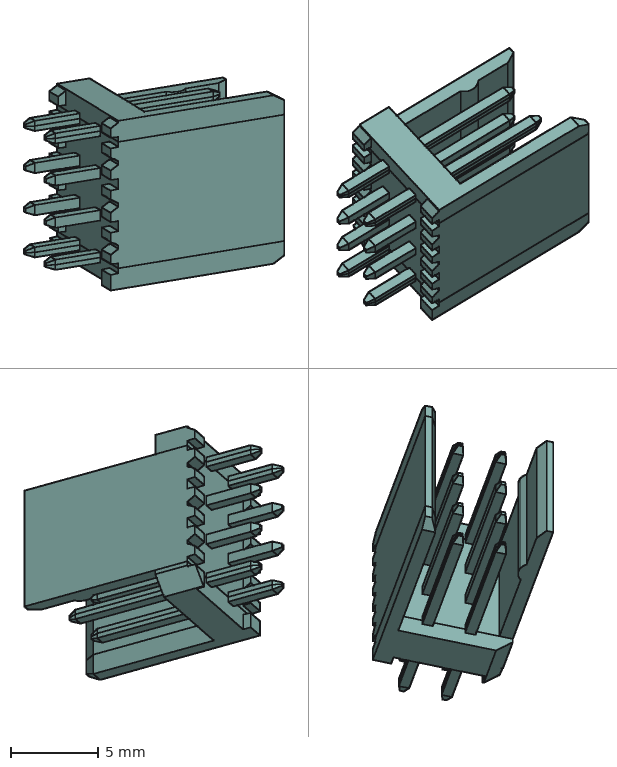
import cadquery as cq
import math

pitch = 2.54
pin_columns = 2
pin_rows = 4
pin_width = 0.62
pin_tip_width = 0.25
pin_taper_length = 0.5
pin_front_reach = 3.4
pin_back_reach = 7.0

housing_width = 7.6
housing_height = pin_rows * pitch
base_depth = 2.1
wall_length = 8.6
wall_thickness = 0.8
wall_end_y = base_depth + wall_length
lead_in_width = 0.4
lead_in_length = 0.7
key_chamfer = 1.0

ridge_radius = 0.8
ridge_height = 0.3
ridge_from_wall_end = 3.45

foot_width = 1.1
foot_depth = 0.5
foot_root_gap_from_pin = 0.3
foot_root_height = 0.87
foot_draft_angle = 3
foot_slope_angle = 30
foot_draft_rise = foot_depth * math.tan(math.radians(foot_draft_angle))
foot_slope_rise = foot_depth * math.tan(math.radians(foot_slope_angle))

half_width = housing_width / 2
half_height = housing_height / 2
split_z = half_height - pitch / 2

overlap = 0.1

pin_column_x = [(column - (pin_columns - 1) / 2) * pitch for column in range(pin_columns)]
pin_row_z = [(row - (pin_rows - 1) / 2) * pitch for row in range(pin_rows)]


def block(x_range, y_range, z_range):
    """Box spanning the given ranges."""
    lows, highs = zip(x_range, y_range, z_range)
    sizes = [high - low for low, high in zip(lows, highs)]
    return cq.Workplane("XY").box(*sizes, centered=False).translate(lows)


def extrude_plan(plan, z_range):
    """Extrude an outline drawn in X and Y over a range of Z."""
    bottom, top = z_range
    return plan.extrude(top - bottom).translate((0, 0, bottom))


def pin(x, z):
    """Square pin along Y, tapered at both ends."""
    shank_start = pin_taper_length - pin_front_reach
    shank_end = base_depth + pin_back_reach - pin_taper_length
    half_pin = pin_width / 2
    shank = block((-half_pin, half_pin), (shank_start, shank_end), (-half_pin, half_pin))
    for face in ("<Y", ">Y"):
        shank = (
            shank.faces(face)
            .workplane(centerOption="CenterOfBoundBox")
            .rect(pin_width, pin_width)
            .workplane(offset=pin_taper_length)
            .rect(pin_tip_width, pin_tip_width)
            .loft(combine=True)
        )
    return shank.translate((x, 0, z))


def latch_wall(z_range):
    """The -X wall, with a lead-in at its end and a rounded ridge on its inner face."""
    inner_x = wall_thickness - half_width
    ridge_y = wall_end_y - ridge_from_wall_end
    ridge_half_length = math.sqrt(ridge_radius**2 - (ridge_radius - ridge_height) ** 2)
    plan = (
        cq.Workplane("XY")
        .moveTo(-half_width, base_depth - overlap)
        .lineTo(inner_x, base_depth - overlap)
        .lineTo(inner_x, ridge_y - ridge_half_length)
        .threePointArc((inner_x + ridge_height, ridge_y), (inner_x, ridge_y + ridge_half_length))
        .lineTo(inner_x, wall_end_y - lead_in_length)
        .lineTo(inner_x - lead_in_width, wall_end_y)
        .lineTo(-half_width, wall_end_y)
        .close()
    )
    return extrude_plan(plan, z_range)


def plain_wall(z_range):
    """The +X wall, with a lead-in on the inner side of its end."""
    inner_x = half_width - wall_thickness
    plan = (
        cq.Workplane("XY")
        .moveTo(half_width, base_depth - overlap)
        .lineTo(half_width, wall_end_y)
        .lineTo(inner_x + lead_in_width, wall_end_y)
        .lineTo(inner_x, wall_end_y - lead_in_length)
        .lineTo(inner_x, base_depth - overlap)
        .close()
    )
    return extrude_plan(plan, z_range)


def wall_end_bevel(side):
    """Wedge that bevels the wall end at the top (side = 1) or bottom (side = -1)."""
    outer_z = side * half_height
    return (
        cq.Workplane("YZ")
        .moveTo(wall_end_y, outer_z)
        .lineTo(wall_end_y - lead_in_length, outer_z)
        .lineTo(wall_end_y, outer_z - side * lead_in_width)
        .close()
        .extrude(half_width, both=True)
    )


def foot_pair(row_z, side, sloped=True):
    """Feet at both X edges, drafted toward the tip, above (side = 1) or below (side = -1) a pin row."""
    near_root_z = row_z + side * foot_root_gap_from_pin
    near_tip_z = near_root_z + side * foot_draft_rise
    if sloped:
        far_root_z = near_root_z + side * foot_root_height
        far_tip_z = far_root_z - side * foot_slope_rise
    else:
        far_root_z = side * half_height
        far_tip_z = far_root_z
    profile = (
        cq.Workplane("YZ")
        .moveTo(overlap, near_root_z)
        .lineTo(0, near_root_z)
        .lineTo(-foot_depth, near_tip_z)
        .lineTo(-foot_depth, far_tip_z)
        .lineTo(0, far_root_z)
        .lineTo(overlap, far_root_z)
        .close()
    )
    foot = profile.extrude(foot_width)
    return foot.translate((-half_width, 0, 0)).union(foot.translate((half_width - foot_width, 0, 0)))


def section(z_range):
    """Base plate, +X wall and the parts of the pins that lie within a range of Z."""
    slice_space = block(
        (-half_width, half_width),
        (-pin_front_reach, wall_end_y),
        z_range,
    )
    body = block((-half_width, half_width), (0, base_depth), z_range).union(plain_wall(z_range))
    bottom, top = z_range
    for z in pin_row_z:
        if bottom - pin_width / 2 < z < top + pin_width / 2:
            for x in pin_column_x:
                body = body.union(pin(x, z).intersect(slice_space))
    return body


middle_range = (-split_z, split_z)
middle_section = section(middle_range).union(latch_wall(middle_range))
for lower_row_z, upper_row_z in zip(pin_row_z, pin_row_z[1:]):
    middle_section = middle_section.union(foot_pair(lower_row_z, 1))
    middle_section = middle_section.union(foot_pair(upper_row_z, -1))

top_section = section((split_z, half_height)).union(foot_pair(split_z, 1)).cut(wall_end_bevel(1))

bottom_section = section((-half_height, -split_z)).union(foot_pair(-split_z, -1, sloped=False))
key_corner = (
    cq.Workplane("XZ")
    .moveTo(-half_width, -half_height)
    .lineTo(-half_width + key_chamfer, -half_height)
    .lineTo(-half_width, -half_height + key_chamfer)
    .close()
    .extrude(base_depth + foot_depth)
    .translate((0, base_depth, 0))
)
bottom_section = bottom_section.cut(wall_end_bevel(-1)).cut(key_corner)

result = cq.Compound.makeCompound([middle_section.val(), top_section.val(), bottom_section.val()])